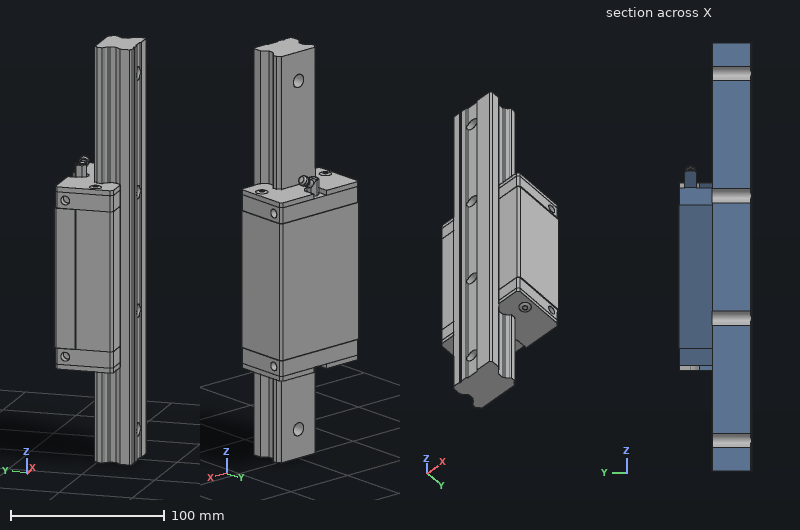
import cadquery as cq
import math


RAIL_LENGTH = 280.0
RAIL_HEIGHT = 26.0
RAIL_HALF_WIDTH = 17.0
RAIL_TOP_HALF_WIDTH = 14.8
NECK_HALF_WIDTH = 13.2
BASE_CHAMFER = 1.5
BASE_SIDE_TOP = 7.8
NECK_TOP = 16.0
HEAD_SIDE_BOTTOM = 20.2
HEAD_SIDE_TOP = 23.5
RACEWAY_LEAD = 0.98
RACEWAY_SAG = 0.3
BASE_GROOVE_HALF_WIDTH = 4.8
BASE_GROOVE_DEPTH = 0.8
MARK_GROOVE_WIDTH = 1.5
MARK_GROOVE_DEPTH = 0.5
MARK_GROOVE_X = -10.0
BOLT_HOLE_DIAMETER = 9.0
BOLT_HOLE_PITCH = RAIL_LENGTH * 2 / 7
BOLT_HOLE_COUNT = 4

CARRIAGE_Z = -13.0
CARRIAGE_BOTTOM = 7.5
CORNER_CHAMFER = 1.7
BLOCK_LENGTH = 94.5
BLOCK_HALF_WIDTH = 35.0
BLOCK_TOP = 48.0
RELIEF_TOP = 33.3
RELIEF_DEPTH = 0.5

END_HALF_WIDTH = 34.5
END_TOP = 47.3
CAP_THICKNESS = 11.0
SEAL_THICKNESS = 3.5
PORT_DIAMETER = 6.0
PORT_DEPTH = 5.5
GREASE_Y = 40.0
SEAL_SLOT_WIDTH = 11.2
SCREW_X = 28.0
SCREW_Y = 21.3
SCREW_HEAD_DIAMETER = 8.0
SCREW_HEAD_HEIGHT = 1.0
SCREW_SOCKET_DIAMETER = 3.5
SCREW_SOCKET_DEPTH = 0.5

HEX_ACROSS_FLATS = 7.0
HEX_HEIGHT = 11.2
HEX_FLAT_TURN = 30.0
HEX_CHAMFER = 0.8
NIPPLE_TILT = 30.0
HEX_FLAT_X = 0.3
SPOUT_OFFSET = 4.0
SHANK_DIAMETER = 5.5
NECK_DIAMETER = 4.5
HEAD_DIAMETER = 6.7
TIP_DIAMETER = 4.5
SHANK_END = 3.5
NECK_END = 5.5
HEAD_END = 7.5
TIP_END = 9.2

BLOCK_END = BLOCK_LENGTH / 2
CAP_END = BLOCK_END + CAP_THICKNESS
SEAL_END = CAP_END + SEAL_THICKNESS


def prism(outline, z_start, z_end):
    """Extrude a closed XY outline between two heights."""
    return outline.extrude(z_end - z_start).translate((0, 0, z_start))


def rail_bar():
    """Plain rail bar with its raceways, before grooves and holes."""
    raceway_top = (RAIL_HALF_WIDTH - RACEWAY_LEAD, HEAD_SIDE_BOTTOM - RACEWAY_LEAD)
    raceway_bottom = (NECK_HALF_WIDTH + RACEWAY_LEAD, NECK_TOP + RACEWAY_LEAD)
    half = (
        cq.Workplane("XY")
        .lineTo(RAIL_HALF_WIDTH - BASE_CHAMFER, 0)
        .lineTo(RAIL_HALF_WIDTH, BASE_CHAMFER)
        .lineTo(RAIL_HALF_WIDTH, BASE_SIDE_TOP)
        .lineTo(NECK_HALF_WIDTH, BASE_SIDE_TOP + RAIL_HALF_WIDTH - NECK_HALF_WIDTH)
        .lineTo(NECK_HALF_WIDTH, NECK_TOP)
        .lineTo(*raceway_bottom)
        .sagittaArc(raceway_top, RACEWAY_SAG)
        .lineTo(RAIL_HALF_WIDTH, HEAD_SIDE_BOTTOM)
        .lineTo(RAIL_HALF_WIDTH, HEAD_SIDE_TOP)
        .radiusArc((RAIL_TOP_HALF_WIDTH, RAIL_HEIGHT), RAIL_HEIGHT - HEAD_SIDE_TOP)
        .lineTo(0, RAIL_HEIGHT)
        .close()
    )
    half_bar = prism(half, -RAIL_LENGTH / 2, RAIL_LENGTH / 2)
    return half_bar.union(half_bar.mirror("YZ"))


def make_rail():
    """Rail with a flared base groove, a marking groove and a row of bolt holes."""
    groove_floor = BASE_GROOVE_HALF_WIDTH - BASE_GROOVE_DEPTH
    base_groove = prism(
        cq.Workplane("XY").polyline([
            (-BASE_GROOVE_HALF_WIDTH, 0),
            (-groove_floor, BASE_GROOVE_DEPTH),
            (groove_floor, BASE_GROOVE_DEPTH),
            (BASE_GROOVE_HALF_WIDTH, 0),
        ]).close(),
        -RAIL_LENGTH / 2,
        RAIL_LENGTH / 2,
    )
    mark_groove = cq.Workplane("XY").box(MARK_GROOVE_WIDTH, 2 * MARK_GROOVE_DEPTH, RAIL_LENGTH)
    bolt_holes = (
        cq.Workplane("XZ")
        .rarray(2.8, BOLT_HOLE_PITCH, 1, BOLT_HOLE_COUNT)
        .circle(BOLT_HOLE_DIAMETER / 2)
        .extrude(-RAIL_HEIGHT)
    )
    return (
        rail_bar()
        .cut(base_groove)
        .cut(mark_groove.translate((MARK_GROOVE_X, 0, 0)))
        .cut(bolt_holes)
    )


def carriage_slab(half_width, top, z_start, z_end):
    """Chamfered slab of the carriage that straddles the rail; z is measured from the carriage middle."""
    height = top - CARRIAGE_BOTTOM
    return (
        cq.Workplane("XY")
        .box(2 * half_width, height, z_end - z_start, centered=(True, False, False))
        .edges("|Z")
        .chamfer(CORNER_CHAMFER)
        .translate((0, CARRIAGE_BOTTOM, z_start))
        .cut(rail_bar())
    )


def make_block():
    """Steel block, relieved along the lower part of its -X side."""
    relief = (
        cq.Workplane("XY")
        .lineTo(RELIEF_DEPTH, 0)
        .lineTo(RELIEF_DEPTH, RELIEF_TOP - RELIEF_DEPTH)
        .lineTo(0, RELIEF_TOP)
        .close()
        .extrude(BLOCK_LENGTH)
        .translate((-BLOCK_HALF_WIDTH, 0, -BLOCK_END))
    )
    lower_chamfer = (
        cq.Workplane("XY")
        .polyline([(0, 0), (CORNER_CHAMFER, 0), (0, CORNER_CHAMFER)])
        .close()
        .extrude(BLOCK_LENGTH)
        .translate((RELIEF_DEPTH - BLOCK_HALF_WIDTH, CARRIAGE_BOTTOM, -BLOCK_END))
    )
    return (
        carriage_slab(BLOCK_HALF_WIDTH, BLOCK_TOP, -BLOCK_END, BLOCK_END)
        .cut(relief)
        .cut(lower_chamfer)
    )


def make_end_cap():
    """End cap at the +Z end, with a blind grease port in each side."""
    cap = carriage_slab(END_HALF_WIDTH, END_TOP, BLOCK_END, CAP_END)
    port = (
        cq.Workplane("YZ")
        .center(GREASE_Y, BLOCK_END + CAP_THICKNESS / 2)
        .circle(PORT_DIAMETER / 2)
        .extrude(PORT_DEPTH)
        .translate((-END_HALF_WIDTH, 0, 0))
    )
    return cap.cut(port).cut(port.mirror("YZ"))


def screw_head():
    """Domed screw head with a round socket, standing on the XY plane."""
    radius = SCREW_HEAD_DIAMETER / 2
    rise = SCREW_HEAD_HEIGHT
    sphere_radius = (radius**2 + rise**2) / (2 * rise)
    dome = (
        cq.Workplane("XZ")
        .lineTo(radius, 0)
        .radiusArc((0, rise), -sphere_radius)
        .close()
        .revolve(360, (0, 0), (0, 1))
    )
    socket = cq.Workplane("XY").circle(SCREW_SOCKET_DIAMETER / 2).extrude(SCREW_SOCKET_DEPTH)
    return dome.cut(socket.translate((0, 0, rise - SCREW_SOCKET_DEPTH)))


def make_end_seal():
    """End seal at the +Z end, with its slot for the nipple and its two screw heads."""
    slot_width = SEAL_SLOT_WIDTH
    slot = (
        cq.Workplane("XY")
        .circle(slot_width / 2)
        .extrude(SEAL_THICKNESS)
        .union(cq.Workplane("XY").box(slot_width, slot_width, SEAL_THICKNESS, centered=(True, False, False)))
        .translate((0, GREASE_Y, CAP_END))
    )
    seal = carriage_slab(END_HALF_WIDTH, END_TOP, CAP_END, SEAL_END).cut(slot)
    for screw_x in (-SCREW_X, SCREW_X):
        seal = seal.union(screw_head().translate((screw_x, SCREW_Y, SEAL_END)))
    return seal


def place_on_bevel(shape):
    """Move a shape so that its YZ plane lies on the bevel of the hexagon and its origin on the top edge."""
    return shape.rotate((0, 0, 0), (0, 1, 0), -NIPPLE_TILT).translate((HEX_FLAT_X, 0, HEX_HEIGHT))


def make_nipple():
    """Elbow grease nipple on the +Z end cap: a bevelled hexagon with a tilted spout toward +X."""
    corner_diameter = HEX_ACROSS_FLATS / math.cos(math.pi / 6)
    hexagon = cq.Workplane("XY").polygon(6, corner_diameter).extrude(HEX_HEIGHT)
    hexagon = hexagon.rotate((0, 0, 0), (0, 0, 1), HEX_FLAT_TURN)
    rounding = cq.Workplane("XY").circle(corner_diameter / 2).extrude(HEX_HEIGHT)
    hexagon = hexagon.intersect(rounding.faces(">Z").chamfer(HEX_CHAMFER))
    spout = (
        cq.Workplane("XY")
        .lineTo(0, SHANK_DIAMETER / 2)
        .lineTo(SHANK_END, SHANK_DIAMETER / 2)
        .lineTo(SHANK_END, NECK_DIAMETER / 2)
        .lineTo(NECK_END, NECK_DIAMETER / 2)
        .lineTo(NECK_END, HEAD_DIAMETER / 2)
        .lineTo(HEAD_END, HEAD_DIAMETER / 2)
        .lineTo(TIP_END, TIP_DIAMETER / 2)
        .lineTo(TIP_END, 0)
        .close()
        .revolve(360, (0, 0), (1, 0))
    )
    bevel_cut = cq.Workplane("XY").box(
        HEX_HEIGHT, corner_diameter, 2 * HEX_HEIGHT, centered=(False, True, True)
    )
    spout = place_on_bevel(spout.translate((0, 0, -SPOUT_OFFSET)))
    hexagon = hexagon.cut(place_on_bevel(bevel_cut))
    return hexagon.union(spout).translate((0, GREASE_Y, CAP_END))


rail = make_rail()
block = make_block()
nipple = make_nipple()
end_cap = make_end_cap()
end_seal = make_end_seal()

carriage_parts = [block, nipple]
for end_piece in (end_cap, end_seal):
    carriage_parts.append(end_piece)
    carriage_parts.append(end_piece.mirror("XY"))

carriage = [body.translate((0, 0, CARRIAGE_Z)).val() for body in carriage_parts]
result = cq.Compound.makeCompound([rail.val(), *carriage])